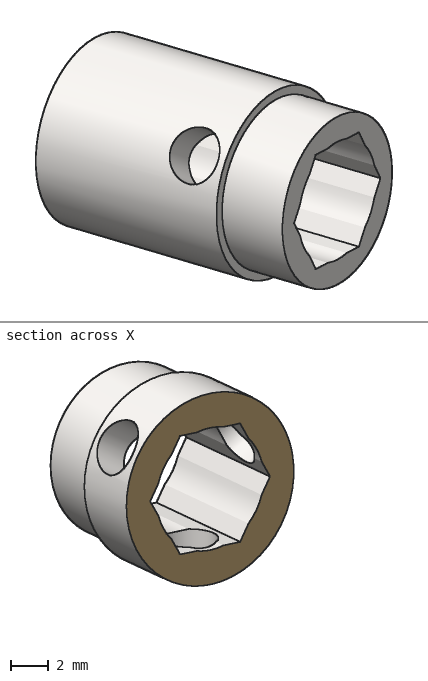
import cadquery as cq
import math

length = 16.0
body_diameter = 10.7
body_length = 12.0
neck_diameter = 9.7

hex_sides = 6
hex_across_flats = 6.6
hex_across_corners = hex_across_flats / math.cos(math.pi / hex_sides)
relief_diameter = 6.8

hole_diameter = 3.1
hole_position = 10.0
hole_count = 3


def make_sleeve():
    """Main cylinder with a reduced neck at the +X end."""
    body = cq.Workplane("YZ").circle(body_diameter / 2).extrude(body_length)
    neck = cq.Workplane("YZ").circle(neck_diameter / 2).extrude(length)
    return body.union(neck)


def make_bore():
    """Hexagon with corners on the Y axis, joined with the round relief."""
    hexagon = cq.Workplane("YZ").polygon(hex_sides, hex_across_corners).extrude(length)
    relief = cq.Workplane("YZ").circle(relief_diameter / 2).extrude(length)
    return hexagon.union(relief)


def make_radial_hole(angle):
    """Cutter from the axis out through one wall; zero angle points down (-Z)."""
    cutter = (
        cq.Workplane("XY")
        .center(hole_position, 0)
        .circle(hole_diameter / 2)
        .extrude(-body_diameter)
    )
    return cutter.rotate((0, 0, 0), (1, 0, 0), angle)


result = make_sleeve().cut(make_bore())
for index in range(hole_count):
    result = result.cut(make_radial_hole(index * 360 / hole_count))